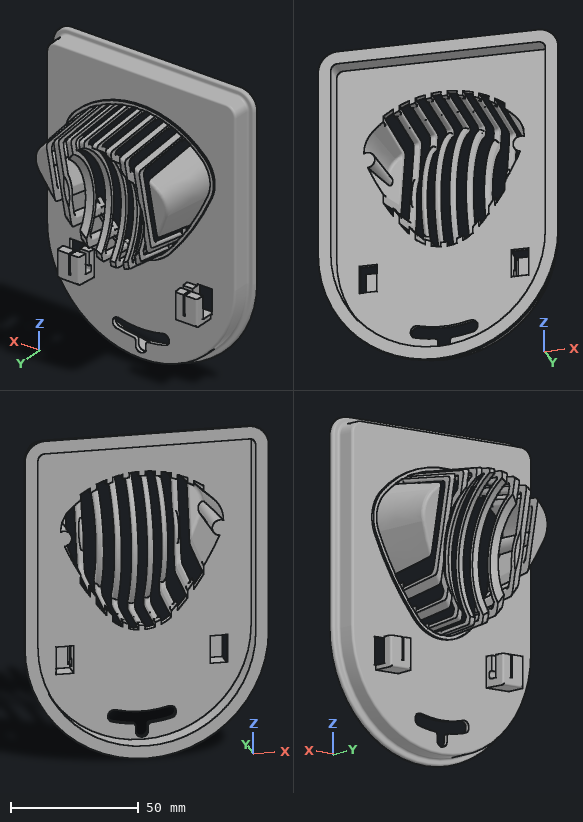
import cadquery as cq
import math

half_width = 48.96
plate_top = 134.01 - half_width
corner_radius = 8.0
flange_thickness = 2.2
edge_radius = 1.0
body_inset = 3.0
cavity_inset = 5.2
plate_back = 10.3
plate_thickness = 2.0
plate_front = plate_back - plate_thickness

total_depth = 40.76
dome_top = 66.8
top_radius = 43.0
side_radius = 14.0
flank_radius = 120.0
bottom_radius = 18.0
dome_bottom = 1.5
side_join_angle = math.radians(45)
draft = math.tan(math.radians(5.5))
wall = 2.0
collar_width = 1.5
collar_back = 11.3
lid_tilt = math.radians(12.0)
lid_high_y = 40.86
lid_high_z = 63.0
lid_rim_thickness = 3.2
lid_edge_radius = 1.3
lid_inner_radius = 1.5

dish_long_radius = 39.0
dish_cross_radius = 21.0
dish_depth = 12.4
dish_thickness = 2.3
dish_z = (dome_top + dome_bottom) / 2
rib_edge_radius = 0.8

slit_count = 8
slit_pitch = 6.5
slit_width = 4.0

column_x = 31.4
column_z = 41.3
column_radius = 3.2

hook_outer_x = 34.0
hook_inner_x = 22.5
hook_top = -3.8
hook_bottom = -16.4
hook_back = 19.5
hook_draft = 0.9
hook_edge_radius = 0.8
pocket_outer_x = 34.5
pocket_inner_x = 27.4
pocket_top = -3.1
pocket_bottom = -14.4
slot_front = 13.4
slot_back = 15.4
slot_floor = -13.0
notch_front = 12.1
notch_height = 3.0
notch_radius = 0.7
gap_width = 0.8

keyhole_radius = 45.0
keyhole_middle_z = -34.7
keyhole_width = 5.0
keyhole_half_angle = math.radians(14.4)
keyhole_bottom = -42.8
keyhole_fillet = 1.2


def facing_back(y):
    """Sketch plane at depth y, with X across and Z up; extrude by a negative length to go +Y."""
    return cq.Workplane("XZ", origin=(0, y, 0))


def plate_prism(inset, y_start, y_end):
    """Plate outline moved inwards by inset, between two depths."""
    half = half_width - inset
    top = plate_top - inset
    prism = (
        facing_back(y_start)
        .moveTo(-half, 0)
        .lineTo(-half, top)
        .lineTo(half, top)
        .lineTo(half, 0)
        .threePointArc((0, -half), (-half, 0))
        .close()
        .extrude(y_start - y_end)
    )
    top_corners = cq.selectors.BoxSelector((-half - 1, y_start, top - 1), (half + 1, y_end, top + 1))
    return prism.edges("|Y").edges(top_corners).fillet(corner_radius - inset)


def along(centre, towards, distance):
    """Point at a distance from centre in the direction of another point."""
    dx = towards[0] - centre[0]
    dz = towards[1] - centre[1]
    scale = distance / math.hypot(dx, dz)
    return (centre[0] + dx * scale, centre[1] + dz * scale)


def arc_middle(centre, start, end, radius):
    """Middle of the short arc from start to end."""
    return along(centre, ((start[0] + end[0]) / 2, (start[1] + end[1]) / 2), radius)


def mirrored(point):
    return (-point[0], point[1])


def egg_outline(workplane, inset):
    """Egg made of tangent arcs (top, sides, flanks, bottom), moved inwards by inset."""
    top_centre = (0, dome_top - top_radius)
    bottom_centre = (0, dome_bottom + bottom_radius)
    centre_step = top_radius - side_radius
    side_centre = (
        centre_step * math.sin(side_join_angle),
        top_centre[1] + centre_step * math.cos(side_join_angle),
    )

    span_x = side_centre[0] - bottom_centre[0]
    span_z = side_centre[1] - bottom_centre[1]
    span = math.hypot(span_x, span_z)
    to_bottom = flank_radius - bottom_radius
    to_side = flank_radius - side_radius
    foot = (to_bottom**2 - to_side**2 + span**2) / (2 * span)
    rise = math.sqrt(to_bottom**2 - foot**2)
    flank_centre = (
        bottom_centre[0] + (foot * span_x - rise * span_z) / span,
        bottom_centre[1] + (foot * span_z + rise * span_x) / span,
    )

    top_r = top_radius - inset
    side_r = side_radius - inset
    flank_r = flank_radius - inset
    bottom_r = bottom_radius - inset
    top_end = along(top_centre, side_centre, top_r)
    side_end = along(flank_centre, side_centre, flank_r)
    flank_end = along(flank_centre, bottom_centre, flank_r)
    side_middle = arc_middle(side_centre, top_end, side_end, side_r)
    flank_middle = arc_middle(flank_centre, side_end, flank_end, flank_r)
    return (
        workplane.moveTo(*mirrored(top_end))
        .threePointArc((0, top_centre[1] + top_r), top_end)
        .threePointArc(side_middle, side_end)
        .threePointArc(flank_middle, flank_end)
        .threePointArc((0, bottom_centre[1] - bottom_r), mirrored(flank_end))
        .threePointArc(mirrored(flank_middle), mirrored(side_end))
        .threePointArc(mirrored(side_middle), mirrored(top_end))
        .close()
    )


def egg_prism(inset, y_start, y_end):
    return egg_outline(facing_back(y_start), inset).extrude(y_start - y_end)


def behind_lid_plane(lid_depth):
    """Large block behind the sloping lid plane, moved inwards by lid_depth."""
    slope = math.tan(lid_tilt)
    shift = lid_depth / math.cos(lid_tilt)
    low_z = dome_bottom - corner_radius
    high_z = dome_top + corner_radius
    return (
        cq.Workplane("YZ")
        .moveTo(lid_high_y - shift + (low_z - lid_high_z) * slope, low_z)
        .lineTo(lid_high_y - shift + (high_z - lid_high_z) * slope, high_z)
        .lineTo(2 * total_depth, high_z)
        .lineTo(2 * total_depth, low_z)
        .close()
        .extrude(half_width, both=True)
    )


def tapered_egg(inset, y_start, lid_depth, rim_radius):
    """Drafted egg from y_start to the sloping lid, with a rounded rim; inset holds at the plate's back."""
    loft_end = total_depth + lid_edge_radius
    start_inset = inset + (y_start - plate_back) * draft
    end_inset = inset + (loft_end - plate_back) * draft
    egg = egg_outline(facing_back(y_start), start_inset)
    egg = egg_outline(egg.workplane(offset=y_start - loft_end), end_inset).loft(ruled=True)
    egg = egg.cut(behind_lid_plane(lid_depth))
    return egg.faces(">Y").edges().fillet(rim_radius)


def make_plate():
    flange = plate_prism(0, 0, flange_thickness).faces(">Y").edges().fillet(edge_radius)
    body = plate_prism(body_inset, 0, plate_back).faces(">Y").edges().fillet(edge_radius)
    plate = flange.union(body)
    root = cq.selectors.BoxSelector(
        (-half_width + body_inset - 0.1, flange_thickness - 0.1, -half_width),
        (half_width - body_inset + 0.1, flange_thickness + 0.1, plate_top - body_inset + 0.1),
        boundingbox=True,
    )
    plate = plate.edges(root).fillet(edge_radius)
    return plate.cut(plate_prism(cavity_inset, 0, plate_front))


def make_dish(growth):
    """Barrel filling the dish, grown outwards by growth; its axis lies outside the lid, parallel to its slope."""
    lid_y = lid_high_y + (dish_z - lid_high_z) * math.tan(lid_tilt)
    inward = (0, -math.cos(lid_tilt), math.sin(lid_tilt))
    lid_plane = cq.Plane((0, lid_y, dish_z), xDir=inward, normal=(1, 0, 0))
    axis_depth = dish_depth - dish_cross_radius
    half_length = math.sqrt((dish_long_radius + growth) ** 2 - (dish_long_radius - dish_cross_radius) ** 2)
    return (
        cq.Workplane(lid_plane)
        .moveTo(axis_depth, -half_length)
        .threePointArc((dish_depth + growth, 0), (axis_depth, half_length))
        .close()
        .revolve(360, (axis_depth, -1), (axis_depth, 1))
    )


def make_hollow():
    """Space inside the dome, bounded by the underside of the lid and the two columns."""
    hollow = tapered_egg(wall, plate_front, lid_rim_thickness, lid_inner_radius)
    columns = (
        facing_back(plate_front)
        .pushPoints([(-column_x, column_z), (column_x, column_z)])
        .circle(column_radius)
        .extrude(plate_front - total_depth)
    )
    return hollow.cut(make_dish(dish_thickness)).cut(columns)


def make_slits():
    centres = [((i - (slit_count - 1) / 2) * slit_pitch, dome_top / 2) for i in range(slit_count)]
    slits = (
        facing_back(plate_front)
        .pushPoints(centres)
        .rect(slit_width, 2 * dome_top)
        .extrude(plate_front - total_depth)
    )
    return slits.intersect(egg_prism(0, plate_front, total_depth))


def round_inner_edges(piece, hollow_skin):
    """Round the edges where the slit sides of one grille piece meet the hollow."""
    flat_limit = 0.001

    def on_hollow(edge):
        middle = cq.Vertex.makeVertex(*edge.positionAt(0.5).toTuple())
        return middle.distance(hollow_skin) < flat_limit

    def beside_slit(edge):
        box = edge.BoundingBox()
        return box.xlen < flat_limit and box.ylen > flat_limit

    edges = [edge for edge in piece.Edges() if beside_slit(edge) and on_hollow(edge)]
    return piece.fillet(rib_edge_radius, edges).fix()


def add_dome(plate):
    """Dome standing on its collar: the ribs and the two closed sides that the slits leave."""
    hollow = make_hollow()
    slits = make_slits()
    hollow_skin = cq.Shell.makeShell(hollow.faces().vals())
    collar = egg_prism(-collar_width, plate_back, collar_back)
    dome = tapered_egg(0, collar_back, 0, lid_edge_radius).cut(make_dish(0)).cut(hollow).cut(slits)
    part = plate.union(collar).cut(hollow).cut(slits)
    for piece in dome.solids().vals():
        part = part.union(cq.Workplane(round_inner_edges(piece, hollow_skin)))
    return part


def block(x_range, y_range, z_range):
    return cq.Workplane("XY").box(
        x_range[1] - x_range[0],
        y_range[1] - y_range[0],
        z_range[1] - z_range[0],
        centered=False,
    ).translate((x_range[0], y_range[0], z_range[0]))


def make_hook():
    """Upward-opening hook on the +X side, drafted on its inner side."""
    hook = (
        cq.Workplane("XY", origin=(0, 0, hook_bottom))
        .moveTo(hook_outer_x, plate_front)
        .lineTo(hook_outer_x, hook_back)
        .lineTo(hook_inner_x + hook_draft, hook_back)
        .lineTo(hook_inner_x, plate_back)
        .lineTo(hook_inner_x, plate_front)
        .close()
        .extrude(hook_top - hook_bottom)
    )
    hook = hook.faces(">Y").edges("not >Z").fillet(hook_edge_radius)
    x_range = (hook_inner_x - 1, hook_outer_x + 1)
    hook = hook.cut(block(x_range, (slot_front, slot_back), (slot_floor, 0)))
    notch = block(x_range, (notch_front, slot_back), (slot_floor, slot_floor + notch_height))
    return hook.cut(notch.edges("|X and <Y").fillet(notch_radius))


def make_pocket():
    """Pocket behind the +X hook, with the narrow gap that frees its tongue."""
    pocket = block((pocket_inner_x, pocket_outer_x), (plate_front, slot_back), (pocket_bottom, pocket_top))
    gap = block((pocket_inner_x, pocket_inner_x + gap_width), (plate_front, hook_back), (slot_floor, pocket_top))
    return pocket.union(gap)


def make_keyhole():
    """Arc slot curved like the round end, with a drop slot at its middle."""
    end_x = keyhole_radius * math.sin(keyhole_half_angle)
    end_z = keyhole_middle_z + keyhole_radius * (1 - math.cos(keyhole_half_angle))
    arc_z = keyhole_middle_z + keyhole_radius
    half = keyhole_width / 2
    depth = plate_front - plate_back

    def on_arc(radius, side):
        scale = radius / keyhole_radius
        return (side * end_x * scale, arc_z + (end_z - arc_z) * scale)

    inner = keyhole_radius - half
    outer = keyhole_radius + half
    arc_slot = (
        facing_back(plate_front)
        .moveTo(*on_arc(inner, -1))
        .threePointArc((0, arc_z - inner), on_arc(inner, 1))
        .lineTo(*on_arc(outer, 1))
        .threePointArc((0, arc_z - outer), on_arc(outer, -1))
        .close()
        .extrude(depth)
    )
    ends = facing_back(plate_front).pushPoints([(-end_x, end_z), (end_x, end_z)]).circle(half).extrude(depth)
    drop_length = keyhole_middle_z - keyhole_bottom - half
    drop = (
        facing_back(plate_front)
        .center(0, keyhole_middle_z - drop_length / 2)
        .rect(keyhole_width, drop_length)
        .extrude(depth)
    )
    corners = cq.selectors.BoxSelector(
        (-half - 0.1, plate_front - 0.1, arc_z - outer - 0.1),
        (half + 0.1, plate_back + 0.1, arc_z - outer + half),
        boundingbox=True,
    )
    keyhole = arc_slot.union(drop).edges("|Y").edges(corners).fillet(keyhole_fillet)
    drop_end = facing_back(plate_front).center(0, keyhole_bottom + half).circle(half).extrude(depth)
    return keyhole.union(ends).union(drop_end)


result = add_dome(make_plate())
hook = make_hook()
pocket = make_pocket()
result = result.union(hook).union(hook.mirror("YZ"))
result = result.cut(pocket).cut(pocket.mirror("YZ"))
result = result.cut(make_keyhole())